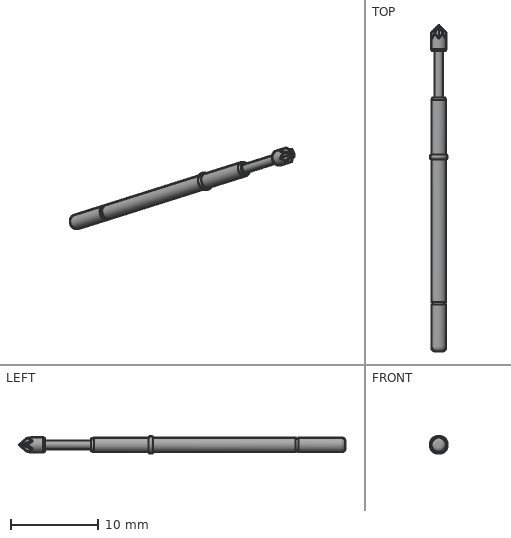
import cadquery as cq
import math

total_length = 37.3

barrel_diameter = 1.68
barrel_radius = barrel_diameter / 2
barrel_length = 29.05
barrel_mouth_radius = 0.7
barrel_mouth_chamfer_length = 0.35
rear_fillet_radius = 0.5

ring_radius = 1.0
ring_width = 0.52
ring_center = 22.23

groove_depth = 0.15
groove_width = 0.35
groove_center = 5.52

shaft_diameter = 1.0
shaft_radius = shaft_diameter / 2

head_diameter = 1.75
head_radius = head_diameter / 2
head_length = 2.95
head_rear = total_length - head_length
head_chamfer_length = 0.22
head_rear_radius = 0.75
ridge_count = 6
ridge_half_angle = math.radians(45)
valley_depth = 1.53


def make_body():
    """Turned barrel and shaft, up to the rear of the head, as one profile of radius (Z) along Y."""
    fillet_center_radius = barrel_radius - rear_fillet_radius
    fillet_mid_offset = rear_fillet_radius * math.sin(math.radians(45))
    profile = (
        cq.Workplane("YZ")
        .lineTo(0, fillet_center_radius)
        .threePointArc(
            (rear_fillet_radius - fillet_mid_offset, fillet_center_radius + fillet_mid_offset),
            (rear_fillet_radius, barrel_radius),
        )
        .lineTo(groove_center - groove_width / 2, barrel_radius)
        .threePointArc(
            (groove_center, barrel_radius - groove_depth),
            (groove_center + groove_width / 2, barrel_radius),
        )
        .lineTo(ring_center - ring_width / 2, barrel_radius)
        .threePointArc(
            (ring_center, ring_radius),
            (ring_center + ring_width / 2, barrel_radius),
        )
        .lineTo(barrel_length - barrel_mouth_chamfer_length, barrel_radius)
        .lineTo(barrel_length, barrel_mouth_radius)
        .lineTo(barrel_length, shaft_radius)
        .lineTo(head_rear, shaft_radius)
        .lineTo(head_rear, 0)
        .close()
    )
    return profile.revolve(360, (0, 0, 0), (1, 0, 0))


def make_star_pyramid():
    """Pyramid with alternating ridges and valleys that run from the tip to the head's rear."""
    ridge_base_radius = head_length * math.tan(ridge_half_angle)
    valley_base_radius = head_length * head_radius / valley_depth
    corner_count = 2 * ridge_count
    tip = cq.Vector(0, total_length, 0)
    corners = []
    for index in range(corner_count):
        radius = valley_base_radius if index % 2 else ridge_base_radius
        angle = 2 * math.pi * index / corner_count
        corners.append(cq.Vector(radius * math.cos(angle), head_rear, radius * math.sin(angle)))

    faces = [cq.Face.makeFromWires(cq.Wire.makePolygon(corners, close=True))]
    for index, corner in enumerate(corners):
        next_corner = corners[(index + 1) % corner_count]
        side = cq.Wire.makePolygon([tip, corner, next_corner], close=True)
        faces.append(cq.Face.makeFromWires(side))
    return cq.Workplane(cq.Solid.makeSolid(cq.Shell.makeShell(faces)))


def make_head():
    """Round head with a chamfered rear edge, trimmed to the star pyramid at its tip."""
    head_blank = (
        cq.Workplane("XZ", origin=(0, total_length, 0))
        .circle(head_radius)
        .extrude(head_length)
        .faces("<Y")
        .chamfer(head_chamfer_length, head_radius - head_rear_radius)
    )
    return head_blank.intersect(make_star_pyramid())


result = make_body().union(make_head())